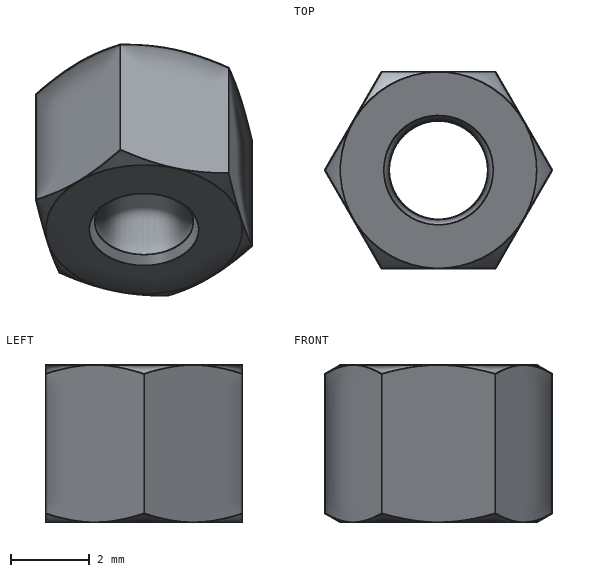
import cadquery as cq
import math

ACROSS_CORNERS = 5.78
HEIGHT = 4.0
BORE_DIAMETER = 2.5
COUNTERSINK_DIAMETER = 2.78
COUNTERSINK_HALF_ANGLE = 30.0
FACE_DIAMETER = 4.99
CORNER_CHAMFER_ANGLE = 30.0

CORNER_RADIUS = ACROSS_CORNERS / 2
FACE_RADIUS = FACE_DIAMETER / 2
BORE_RADIUS = BORE_DIAMETER / 2
COUNTERSINK_RADIUS = COUNTERSINK_DIAMETER / 2
CORNER_DROP = (CORNER_RADIUS - FACE_RADIUS) * math.tan(math.radians(CORNER_CHAMFER_ANGLE))
COUNTERSINK_DEPTH = (COUNTERSINK_RADIUS - BORE_RADIUS) / math.tan(math.radians(COUNTERSINK_HALF_ANGLE))


def hexagonal_prism():
    """Hexagon with two corners on the X axis, standing on Z = 0."""
    return cq.Workplane("XY").polygon(6, ACROSS_CORNERS).extrude(HEIGHT)


def turned_envelope():
    """Body of revolution: coned outside, bored and countersunk at both ends.

    Profile points are (radius, height).
    """
    profile = [
        (COUNTERSINK_RADIUS, 0),
        (FACE_RADIUS, 0),
        (CORNER_RADIUS, CORNER_DROP),
        (CORNER_RADIUS, HEIGHT - CORNER_DROP),
        (FACE_RADIUS, HEIGHT),
        (COUNTERSINK_RADIUS, HEIGHT),
        (BORE_RADIUS, HEIGHT - COUNTERSINK_DEPTH),
        (BORE_RADIUS, COUNTERSINK_DEPTH),
    ]
    axis_start = (0, 0)
    axis_end = (0, 1)
    return cq.Workplane("XZ").polyline(profile).close().revolve(360, axis_start, axis_end)


result = hexagonal_prism().intersect(turned_envelope())